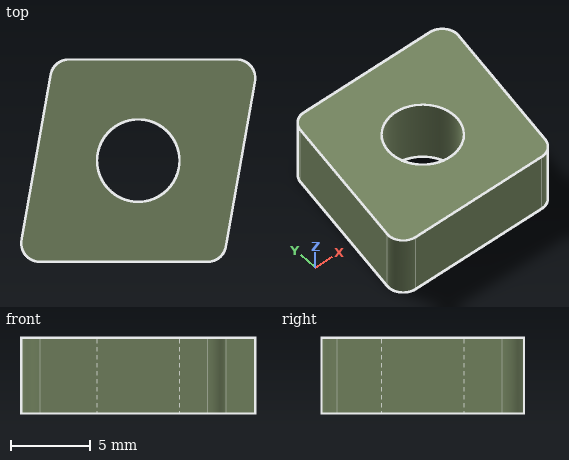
import cadquery as cq
import math

overall_length = 14.68
inscribed_diameter = 12.7
thickness = 4.75
hole_diameter = 5.15
acute_angle = math.radians(80)

half_height = inscribed_diameter / 2
half_side = half_height / math.sin(acute_angle)
slant_offset = half_height / math.tan(acute_angle)
acute_corner_x = half_side + slant_offset
obtuse_corner_x = half_side - slant_offset

tip_loss_per_radius = acute_corner_x / half_height - 1
corner_radius = (acute_corner_x - overall_length / 2) / tip_loss_per_radius

outline = [
    (acute_corner_x, half_height),
    (-obtuse_corner_x, half_height),
    (-acute_corner_x, -half_height),
    (obtuse_corner_x, -half_height),
]

body = cq.Workplane("XY").polyline(outline).close().extrude(thickness)
body = body.edges("|Z").fillet(corner_radius)

result = body.faces(">Z").workplane(origin=(0, 0, thickness)).hole(hole_diameter)